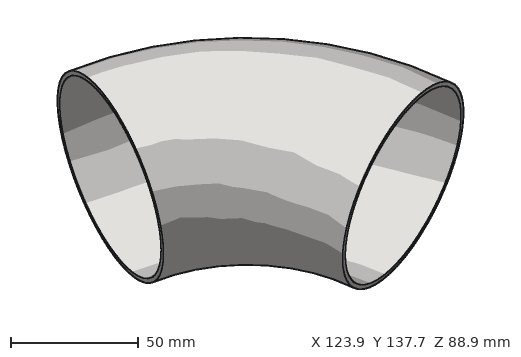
import cadquery as cq

outer_diameter = 88.9
wall_thickness = 2.0
bend_radius = 114.5
bend_angle = 60.0

outer_radius = outer_diameter / 2
inner_radius = outer_radius - wall_thickness


def make_elbow():
    """Pipe ring on the XZ plane at the origin, swung toward +Y about a vertical axis on the +X side."""
    ring = cq.Workplane("XZ").circle(outer_radius).circle(inner_radius)
    axis_start = (bend_radius, 0)
    axis_end = (bend_radius, -1)
    return ring.revolve(bend_angle, axis_start, axis_end)


result = make_elbow()